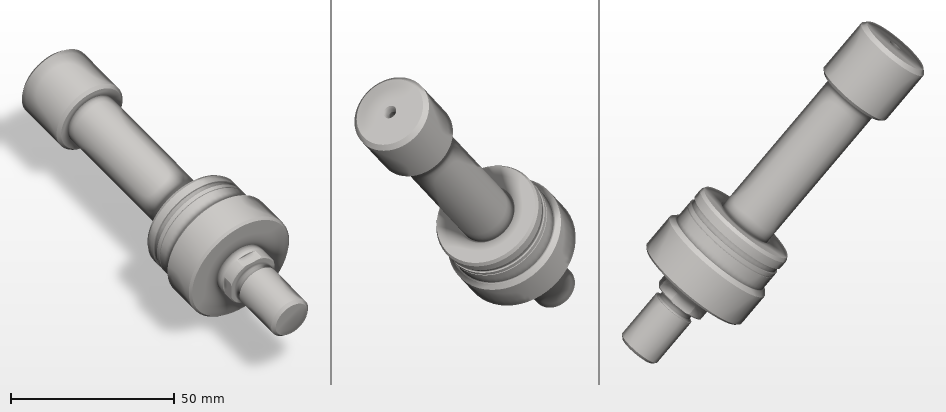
import cadquery as cq
import math

OVERALL_LENGTH = 125.0

head_radius = 12.5
head_end = 20.5
head_front_chamfer = 1.4
head_back_chamfer = 1.0
rod_radius = 8.9
taper_start = 100.1
taper_end = 101.2
taper_drop = 0.1
rod_end = 104.8
rod_end_chamfer = 0.4
flat_distance = 8.1
flat_count = 4

center_mouth_radius = 2.1
center_pilot_radius = 1.0
center_cone_angle = 60.0
center_pilot_length = 1.9
center_tip_angle = 120.0

gland_start = 72.5
gland_radius = 17.1
bore_chamfer = 0.8
gland_lead_length = 1.1
gland_lead_drop = 0.6
seal_groove_start = 76.4
seal_groove_width = 1.9
seal_groove_depth = 0.6
thin_groove_start = 79.6
thin_groove_width = 0.4
thin_groove_depth = 0.2
flange_start = 85.0
flange_radius = 19.0
flange_shoulder_height = 0.5
flange_cone_length = 1.4
flange_end = 98.2
flange_edge_chamfer = 0.8

neck_radius = 5.9
neck_fillet = 0.6
stud_start = 107.5
stud_radius = 7.0
stud_shoulder_height = 0.6
neck_cone_length = 0.5
stud_end_chamfer = 1.0


def revolve_about_x(outline):
    """Revolve a closed outline, drawn as (x, radius), about the X axis."""
    return outline.close().revolve(360, (0, 0, 0), (1, 0, 0))


def ring_groove(start, width, depth):
    """Ring that cuts a square groove into the gland's barrel."""
    ring = cq.Workplane("YZ", origin=(start, 0, 0)).circle(gland_radius + depth)
    return ring.circle(gland_radius - depth).extrude(width)


def center_hole():
    cone_length = (center_mouth_radius - center_pilot_radius) / math.tan(math.radians(center_cone_angle / 2))
    pilot_end = cone_length + center_pilot_length
    tip_length = center_pilot_radius / math.tan(math.radians(center_tip_angle / 2))
    return revolve_about_x(
        cq.Workplane("XY")
        .moveTo(0, 0)
        .lineTo(0, center_mouth_radius)
        .lineTo(cone_length, center_pilot_radius)
        .lineTo(pilot_end, center_pilot_radius)
        .lineTo(pilot_end + tip_length, 0)
    )


def cut_wrench_flats(body):
    flat_length = rod_end - taper_end
    cutter = cq.Workplane("XY").box(flat_length, 2 * rod_radius, rod_radius, centered=(False, True, False))
    cutter = cutter.translate((taper_end, 0, flat_distance))
    for index in range(flat_count):
        body = body.cut(cutter.rotate((0, 0, 0), (1, 0, 0), index * 360 / flat_count))
    return body


def make_rod():
    body = revolve_about_x(
        cq.Workplane("XY")
        .moveTo(0, 0)
        .lineTo(0, head_radius - head_front_chamfer)
        .lineTo(head_front_chamfer, head_radius)
        .lineTo(head_end - head_back_chamfer, head_radius)
        .lineTo(head_end, head_radius - head_back_chamfer)
        .lineTo(head_end, rod_radius)
        .lineTo(taper_start, rod_radius)
        .lineTo(taper_end, rod_radius - taper_drop)
        .lineTo(taper_end, rod_radius)
        .lineTo(rod_end - rod_end_chamfer, rod_radius)
        .lineTo(rod_end, rod_radius - rod_end_chamfer)
        .lineTo(rod_end, 0)
    )
    return cut_wrench_flats(body).cut(center_hole())


def make_gland():
    body = revolve_about_x(
        cq.Workplane("XY")
        .moveTo(gland_start + bore_chamfer, rod_radius)
        .lineTo(gland_start, rod_radius + bore_chamfer)
        .lineTo(gland_start, gland_radius - gland_lead_drop)
        .lineTo(gland_start + gland_lead_length, gland_radius)
        .lineTo(flange_start, gland_radius)
        .lineTo(flange_start, gland_radius + flange_shoulder_height)
        .lineTo(flange_start + flange_cone_length, flange_radius)
        .lineTo(flange_end - flange_edge_chamfer, flange_radius)
        .lineTo(flange_end, flange_radius - flange_edge_chamfer)
        .lineTo(flange_end, rod_radius)
    )
    body = body.cut(ring_groove(seal_groove_start, seal_groove_width, seal_groove_depth))
    return body.cut(ring_groove(thin_groove_start, thin_groove_width, thin_groove_depth))


def make_stud():
    return revolve_about_x(
        cq.Workplane("XY")
        .moveTo(rod_end, 0)
        .lineTo(rod_end, neck_radius + neck_fillet)
        .radiusArc((rod_end + neck_fillet, neck_radius), -neck_fillet)
        .lineTo(stud_start - neck_cone_length, neck_radius)
        .lineTo(stud_start, stud_radius - stud_shoulder_height)
        .lineTo(stud_start, stud_radius)
        .lineTo(OVERALL_LENGTH - stud_end_chamfer, stud_radius)
        .lineTo(OVERALL_LENGTH, stud_radius - stud_end_chamfer)
        .lineTo(OVERALL_LENGTH, 0)
    )


rod = make_rod()
gland = make_gland()
stud = make_stud()

result = cq.Compound.makeCompound([rod.val(), gland.val(), stud.val()])